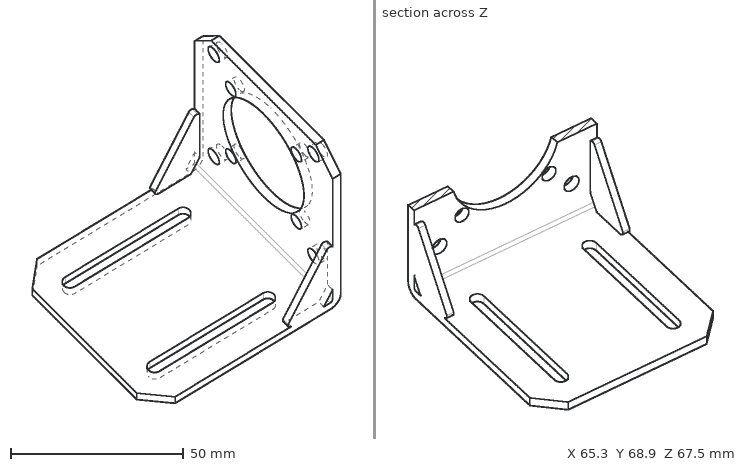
import cadquery as cq
import math

width = 65.25
depth = 68.9
height = 67.5
thickness = 3.0
bend_inner_radius = 0.95
corner_chamfer = 7.9

bore_diameter = 38.2
bore_height = 38.65
outer_hole_diameter = 5.25
outer_hole_pitch = 47.1
inner_hole_diameter = 4.9
inner_hole_pitch = 31.0

slot_width = 4.5
slot_length = 46.1
slot_spacing = 40.0
slot_start = 14.8

gusset_thickness = 2.5
gusset_top = 28.4
gusset_reach = 18.25
gusset_offset = 1.85
gusset_window_top = 8.4
gusset_window_reach = 6.3
gusset_tip_radius = 1.0


def make_bent_plate():
    """L-shaped sheet with a rounded bend and clipped free corners."""
    plate = (
        cq.Workplane("YZ")
        .polyline([
            (0, 0), (-depth, 0), (-depth, thickness),
            (-thickness, thickness), (-thickness, height), (0, height),
        ])
        .close()
        .extrude(width / 2, both=True)
    )
    plate = plate.edges(
        cq.NearestToPointSelector((0, -thickness, thickness))
    ).fillet(bend_inner_radius)
    plate = plate.edges(
        cq.NearestToPointSelector((0, 0, 0))
    ).fillet(bend_inner_radius + thickness)
    plate = plate.faces(">Z").edges("|Y").chamfer(corner_chamfer)
    return plate.faces("<Y").edges("|Z").chamfer(corner_chamfer)


def make_gusset(start_x):
    """Sloping strip joining upright and base, its inner side starting at start_x."""
    run = gusset_reach - thickness
    rise = gusset_top - thickness
    slope_length = math.hypot(run, rise)
    out_y = -gusset_offset * rise / slope_length
    out_z = gusset_offset * run / slope_length
    upper_tip = (-thickness + out_y, gusset_top + out_z)
    lower_tip = (-gusset_reach + out_y, thickness + out_z)

    root = thickness / 2
    gusset = (
        cq.Workplane("YZ", origin=(start_x, 0, 0))
        .polyline([
            (-thickness, gusset_window_top), (-root, gusset_window_top),
            (-root, gusset_top), (-thickness, gusset_top),
            upper_tip, lower_tip,
            (-gusset_reach, thickness), (-gusset_reach, root),
            (-gusset_window_reach, root), (-gusset_window_reach, thickness),
        ])
        .close()
        .extrude(gusset_thickness)
    )
    for tip_y, tip_z in (upper_tip, lower_tip):
        tip_edge = cq.NearestToPointSelector((start_x + gusset_thickness / 2, tip_y, tip_z))
        gusset = gusset.edges(tip_edge).fillet(gusset_tip_radius)
    return gusset


def make_face_holes():
    """Cutters for the central bore and the two square hole patterns."""
    face = cq.Workplane("XZ", origin=(0, 0, bore_height))
    cutters = face.circle(bore_diameter / 2).extrude(thickness)
    for diameter, pitch in (
        (outer_hole_diameter, outer_hole_pitch),
        (inner_hole_diameter, inner_hole_pitch),
    ):
        holes = face.rect(pitch, pitch, forConstruction=True).vertices().circle(diameter / 2)
        cutters = cutters.union(holes.extrude(thickness))
    return cutters


def make_slots():
    """Cutters for the two long slots running front to back."""
    slot_middle = -(slot_start + slot_length / 2)
    return (
        cq.Workplane("XY")
        .pushPoints([(side * slot_spacing / 2, slot_middle) for side in (-1, 1)])
        .slot2D(slot_length, slot_width, 90)
        .extrude(thickness)
    )


result = make_bent_plate()
for gusset_start in (-width / 2, width / 2 - gusset_thickness):
    result = result.union(make_gusset(gusset_start))
result = result.cut(make_face_holes()).cut(make_slots())